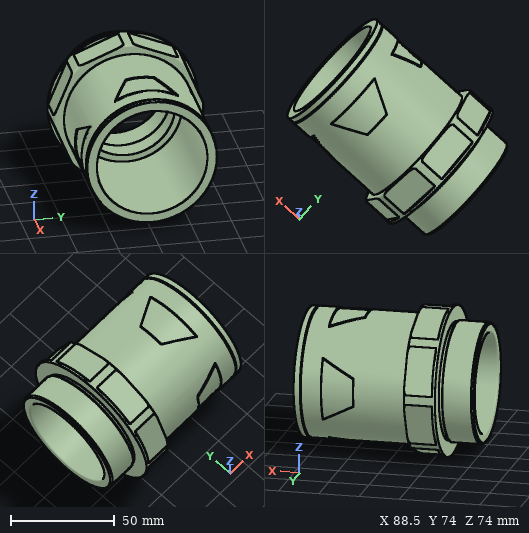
import cadquery as cq
import math

length = 88.5
front = -length / 2
back = length / 2
thread_end = front + 15.2
neck_taper_start = front + 16.4
collar_start = front + 17.0
flats_start = front + 18.6
collar_end = front + 32.7
groove_start = front + 85.0

thread_diameter = 59.3
neck_diameter = 57.8
neck_root_diameter = 58.0
collar_diameter = 74.0
body_diameter = 64.0

thread_chamfer = 0.9
collar_fillet = 1.3
groove_width = 0.35
groove_depth = 0.5

mouth_diameter = 50.9
front_bore_diameter = 49.0
throat_diameter = 47.5
rear_bore_diameter = 54.5
mouth_radius = (mouth_diameter - front_bore_diameter) / 2
throat_start = front + 17.0
throat_end = front + 28.3

flat_count = 8
flat_pitch = 360 / flat_count
flat_half_angle = 18.8
flat_distance = collar_diameter / 2 * math.cos(math.radians(flat_half_angle))

recess_count = 4
recess_start = front + 58.9
recess_end = front + 74.9
recess_narrow_width = 13.8
recess_wide_width = 30.9
recess_depth = 0.5


def tube(diameter, start, end):
    """Solid cylinder along X between two positions."""
    return cq.Workplane("YZ", origin=(start, 0, 0)).circle(diameter / 2).extrude(end - start)


def make_outside():
    """Revolve the thread, neck, collar and body as one profile."""
    profile = (
        cq.Workplane("XY")
        .moveTo(front, 0)
        .lineTo(front, neck_diameter / 2)
        .lineTo(front + thread_chamfer, thread_diameter / 2)
        .lineTo(thread_end, thread_diameter / 2)
        .lineTo(thread_end, neck_diameter / 2)
        .lineTo(neck_taper_start, neck_diameter / 2)
        .lineTo(collar_start, neck_root_diameter / 2)
        .lineTo(collar_start, collar_diameter / 2)
        .lineTo(collar_end - collar_fillet, collar_diameter / 2)
        .radiusArc((collar_end, collar_diameter / 2 - collar_fillet), collar_fillet)
        .lineTo(collar_end, body_diameter / 2)
        .lineTo(back, body_diameter / 2)
        .lineTo(back, 0)
        .close()
    )
    return profile.revolve(360, (0, 0, 0), (1, 0, 0))


def make_flat_cutter(index):
    """Block that planes one flat on the collar."""
    flat_length = collar_end - flats_start
    block = cq.Workplane("XY").box(
        flat_length, collar_diameter, collar_diameter - body_diameter, centered=(False, True, False)
    )
    angle = (index + 0.5) * flat_pitch
    return block.translate((flats_start, 0, flat_distance)).rotate((0, 0, 0), (1, 0, 0), angle)


def make_recess_cutter(index):
    """Trapezoidal prism outside the recess floor, widening toward the back."""
    prism = (
        cq.Workplane("XY")
        .polyline([
            (recess_start, -recess_narrow_width / 2),
            (recess_end, -recess_wide_width / 2),
            (recess_end, recess_wide_width / 2),
            (recess_start, recess_narrow_width / 2),
        ])
        .close()
        .extrude(body_diameter)
    )
    floor = tube(body_diameter - 2 * recess_depth, recess_start, recess_end)
    angle = index * 360 / recess_count
    return prism.cut(floor).rotate((0, 0, 0), (1, 0, 0), angle)


def make_groove_cutter():
    """Narrow ring cut near the back end of the body."""
    groove_end = groove_start + groove_width
    root = tube(body_diameter - 2 * groove_depth, groove_start, groove_end)
    return tube(collar_diameter, groove_start, groove_end).cut(root)


def make_bore():
    """Revolve the bore: rounded mouth, front bore, throat and rear bore."""
    profile = (
        cq.Workplane("XY")
        .moveTo(front, 0)
        .lineTo(front, mouth_diameter / 2)
        .radiusArc((front + mouth_radius, front_bore_diameter / 2), -mouth_radius)
        .lineTo(throat_start, front_bore_diameter / 2)
        .lineTo(throat_start, throat_diameter / 2)
        .lineTo(throat_end, throat_diameter / 2)
        .lineTo(throat_end, rear_bore_diameter / 2)
        .lineTo(back, rear_bore_diameter / 2)
        .lineTo(back, 0)
        .close()
    )
    return profile.revolve(360, (0, 0, 0), (1, 0, 0))


result = make_outside()
for flat_index in range(flat_count):
    result = result.cut(make_flat_cutter(flat_index))
for recess_index in range(recess_count):
    result = result.cut(make_recess_cutter(recess_index))
result = result.cut(make_groove_cutter())
result = result.cut(make_bore())